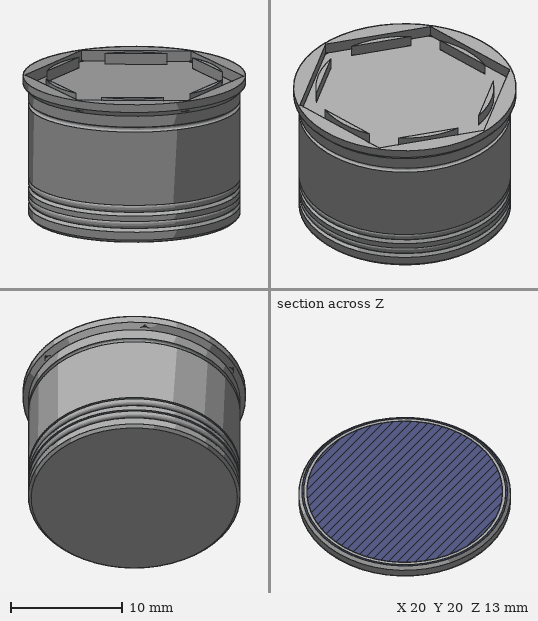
import cadquery as cq
import math

flange_radius = 10.0
height = 13.0
bottom_chamfer = 0.25
barrel_radius = 9.52

rim_thickness = 0.72
rim_bottom = height - rim_thickness
cone_bottom = rim_bottom - (flange_radius - barrel_radius)

relief_half_width = 0.22
relief_fillet = 0.2
relief_depth = 0.28
relief_half_flat = relief_half_width - relief_fillet
relief_z = 10.55
relief_floor = barrel_radius - relief_depth
relief_arc_center = relief_floor + relief_fillet

hex_across_flats = 17.0
hex_corner_diameter = hex_across_flats / math.cos(math.pi / 6)
pocket_depth = 1.0
pocket_floor = height - pocket_depth

pad_outer_diameter = 16.0
pad_across_flats = 15.0
pad_corner_diameter = pad_across_flats / math.cos(math.pi / 6)

seal_size = 0.72
seal_fillet = 0.3
groove_floor_radius = barrel_radius - seal_size
groove_lead_in = 0.28
seal_bottoms = [1.28, 2.78]


def revolve_profile(profile):
    """Turn a profile drawn in the XZ plane about the Z axis."""
    return profile.close().revolve(360, (0, 0, 0), (0, 1, 0))


def make_hexagon(corner_diameter):
    """Hexagonal prism from the pocket floor to the top, two corners towards +Y and -Y."""
    prism = cq.Workplane("XY").workplane(offset=pocket_floor)
    return prism.polygon(6, corner_diameter).extrude(pocket_depth).rotate((0, 0, 0), (0, 0, 1), 90)


def make_outer_shape():
    """Solid barrel with flange, relief groove and chamfered bottom edge."""
    profile = (
        cq.Workplane("XZ")
        .lineTo(barrel_radius - bottom_chamfer, 0)
        .lineTo(barrel_radius, bottom_chamfer)
        .lineTo(barrel_radius, relief_z - relief_half_width)
        .lineTo(relief_arc_center, relief_z - relief_half_width)
        .tangentArcPoint((relief_floor, relief_z - relief_half_flat), relative=False)
        .lineTo(relief_floor, relief_z + relief_half_flat)
        .tangentArcPoint((relief_arc_center, relief_z + relief_half_width), relative=False)
        .lineTo(barrel_radius, relief_z + relief_half_width)
        .lineTo(barrel_radius, cone_bottom)
        .lineTo(flange_radius, rim_bottom)
        .lineTo(flange_radius, height)
        .lineTo(0, height)
    )
    return revolve_profile(profile)


def make_seal_groove(seal_bottom):
    """Cutter for a square groove with a 45 degree lead-in on its lower edge."""
    profile = (
        cq.Workplane("XZ")
        .moveTo(groove_floor_radius, seal_bottom)
        .lineTo(barrel_radius - groove_lead_in, seal_bottom)
        .lineTo(barrel_radius, seal_bottom - groove_lead_in)
        .lineTo(barrel_radius, seal_bottom + seal_size)
        .lineTo(groove_floor_radius, seal_bottom + seal_size)
    )
    return revolve_profile(profile)


def make_pads():
    """Six pads standing on the pocket floor, level with the top of the flange."""
    disc = cq.Workplane("XY").workplane(offset=pocket_floor).circle(pad_outer_diameter / 2).extrude(pocket_depth)
    return disc.cut(make_hexagon(pad_corner_diameter))


def make_plug():
    """Plug body with its hexagonal pocket, pads and seal grooves."""
    pocket = make_hexagon(hex_corner_diameter).cut(make_pads())
    body = make_outer_shape().cut(pocket)
    for seal_bottom in seal_bottoms:
        body = body.cut(make_seal_groove(seal_bottom))
    return body.solids()


def make_seal_ring(seal_bottom):
    """Seal ring that fills its groove apart from the rounded corners."""
    ring = (
        cq.Workplane("XY")
        .workplane(offset=seal_bottom)
        .circle(barrel_radius)
        .circle(groove_floor_radius)
        .extrude(seal_size)
    )
    return ring.edges("%CIRCLE").fillet(seal_fillet).solids()


plug = make_plug()
seal_rings = [make_seal_ring(seal_bottom) for seal_bottom in seal_bottoms]

result = cq.Compound.makeCompound([plug.val(), *[ring.val() for ring in seal_rings]])